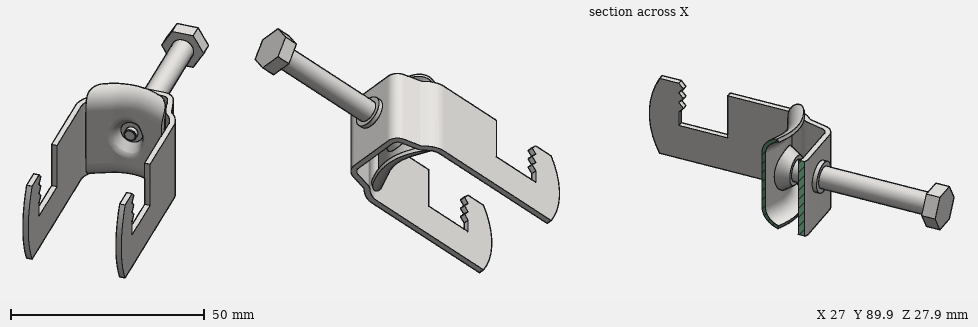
import cadquery as cq
import math


bracket_width = 27.0
sheet = 1.5
bracket_top = 9.0
bracket_bottom = -14.0
leg_tip_y = -54.1
web_bend_radius = 3.4
web_bend_angle = 76.0
side_slope_length = 4.9
flare_radius = 1.4
flare_angle = 32.0
shoulder_radius = 7.8
shoulder_angle = 31.0
leg_bend_radius = 5.6
leg_bend_angle = 90.0 - web_bend_angle + flare_angle - shoulder_angle
tip_sagitta = 3.0

slot_back_y = -31.75
slot_front_y = -45.7
slot_depth = 12.95
tooth_count = 3
tooth_pitch = 3.0
tooth_height = 1.35

collar_diameter = 8.5
collar_height = 1.3

overall_length = 89.9
shank_diameter = 6.0
head_top_y = overall_length + leg_tip_y
head_height = 3.9
head_across_flats = 10.0
pin_diameter = 3.3
pin_end_diameter = 2.9
pin_projection = 1.6

pad_sheet = 1.1
pad_front_y = -10.25
pad_radius = 10.8
wing_angle = 24.0
pad_half_width = 10.3
pad_flat_half_height = 8.4
curl_radius = 5.7
curl_angle = 75.0
pad_corner_radius = 5.0
trim_margin = 0.9

dimple_depth = 2.7
dimple_floor_diameter = 6.0
dimple_mouth_width = 9.0
dimple_mouth_height = 13.9
dimple_lead = 1.35
dimple_lip_radius = 2.0
selection_margin = 0.01


def step(point, heading, length):
    """Point reached from `point` by going `length` along `heading` (degrees from +X)."""
    angle = math.radians(heading)
    return (point[0] + length * math.cos(angle), point[1] + length * math.sin(angle))


def bend(point, heading, turn, radius):
    """Middle and end point of an arc that starts along `heading`; a positive turn is to the left."""
    side = math.copysign(90.0, turn)
    center = step(point, heading + side, radius)
    middle = step(center, heading - side + turn / 2, radius)
    end = step(center, heading - side + turn, radius)
    return middle, end


def line(start, end):
    return cq.Edge.makeLine(cq.Vector(*start), cq.Vector(*end))


def bent_face(inset):
    """Edges of one sheet face from the end of the web to the leg tip, `inset` below the outer face."""
    bends = [
        (-web_bend_angle, web_bend_radius - inset, side_slope_length),
        (flare_angle, flare_radius + inset, 0),
        (-shoulder_angle, shoulder_radius - inset, 0),
        (-leg_bend_angle, leg_bend_radius - inset, 0),
    ]
    point = (0, -inset)
    heading = 0.0
    edges = []
    for turn, radius, straight in bends:
        start = point
        middle, point = bend(start, heading, turn, radius)
        edges.append(cq.Edge.makeThreePointArc(cq.Vector(*start), cq.Vector(*middle), cq.Vector(*point)))
        heading += turn
        if straight:
            start = point
            point = step(start, heading, straight)
            edges.append(line(start, point))
    tip = (point[0], leg_tip_y)
    edges.append(line(point, tip))
    return edges, tip


def leg_outline():
    """Side shape of the bracket: rounded tip and a slot from above with teeth on its front wall."""
    corner_y = leg_tip_y + tip_sagitta
    middle_z = (bracket_top + bracket_bottom) / 2
    slot_floor = bracket_top - slot_depth
    side = (
        cq.Workplane("YZ")
        .moveTo(0, bracket_bottom)
        .lineTo(corner_y, bracket_bottom)
        .threePointArc((leg_tip_y, middle_z), (corner_y, bracket_top))
        .lineTo(slot_front_y, bracket_top)
    )
    for i in range(tooth_count):
        root_z = bracket_top - i * tooth_pitch
        side = side.lineTo(slot_front_y + tooth_height, root_z - tooth_pitch / 2)
        side = side.lineTo(slot_front_y, root_z - tooth_pitch)
    side = (
        side.lineTo(slot_front_y, slot_floor)
        .lineTo(slot_back_y, slot_floor)
        .lineTo(slot_back_y, bracket_top)
        .lineTo(0, bracket_top)
        .close()
    )
    return side.extrude(bracket_width, both=True)


def cylinder_y(diameter, start_y, end_y):
    """Cylinder on the bolt axis from start_y to end_y."""
    return cq.Workplane("XZ", origin=(0, end_y, 0)).circle(diameter / 2).extrude(end_y - start_y)


def make_bracket():
    outer, outer_tip = bent_face(0)
    inner, inner_tip = bent_face(sheet)
    ends = [line(outer_tip, inner_tip), line((0, 0), (0, -sheet))]
    outline = cq.Wire.combine(outer + inner + ends)[0]
    height = bracket_top - bracket_bottom
    web_half_width = bracket_width / 2 - outer_tip[0]
    leg_solid = cq.Solid.extrudeLinear(outline, [], cq.Vector(0, 0, height))
    leg = cq.Workplane(leg_solid).translate((web_half_width, 0, bracket_bottom))
    web = cq.Workplane("XY", origin=(0, -sheet / 2, bracket_bottom)).box(
        2 * web_half_width, sheet, height, centered=(True, True, False)
    )
    clip = web.union(leg).union(leg.mirror("YZ")).intersect(leg_outline())
    collar = cylinder_y(collar_diameter, -sheet, collar_height)
    return clip.union(collar).cut(cylinder_y(shank_diameter, -sheet, collar_height))


def make_bolt():
    floor_y = pad_front_y + dimple_depth
    seat_y = floor_y + pad_sheet
    pin_end_y = floor_y - pin_projection
    head_bottom_y = head_top_y - head_height
    across_corners = head_across_flats / math.cos(math.pi / 6)
    head = cq.Workplane("XZ", origin=(0, head_top_y, 0)).polygon(6, across_corners).extrude(head_height)
    pin = cylinder_y(pin_diameter, pin_end_y, seat_y)
    pin = pin.faces("<Y").chamfer((pin_diameter - pin_end_diameter) / 2)
    return head.union(cylinder_y(shank_diameter, seat_y, head_bottom_y)).union(pin)


def pad_profile(plane):
    """Section of the pad sheet: flat in the middle, curled back at the top and bottom."""
    inner = curl_radius - pad_sheet

    def on_curl(radius, angle, side):
        a = math.radians(angle)
        return (curl_radius - radius * math.cos(a), side * (pad_flat_half_height + radius * math.sin(a)))

    return (
        plane.moveTo(0, -pad_flat_half_height)
        .lineTo(0, pad_flat_half_height)
        .threePointArc(on_curl(curl_radius, curl_angle / 2, 1), on_curl(curl_radius, curl_angle, 1))
        .lineTo(*on_curl(inner, curl_angle, 1))
        .threePointArc(on_curl(inner, curl_angle / 2, 1), on_curl(inner, 0, 1))
        .lineTo(*on_curl(inner, 0, -1))
        .threePointArc(on_curl(inner, curl_angle / 2, -1), on_curl(inner, curl_angle, -1))
        .lineTo(*on_curl(curl_radius, curl_angle, -1))
        .threePointArc(on_curl(curl_radius, curl_angle / 2, -1), (0, -pad_flat_half_height))
        .close()
    )


def front_profile(plane):
    """Section of the space in front of the middle of the pad sheet, next to its flat stretch."""
    back = pad_sheet / 2
    front = -pad_radius / 2
    top = pad_flat_half_height
    corners = [(front, -top), (back, -top), (back, top), (front, top)]
    return plane.polyline(corners).close()


def corner_trim(section, wing_length, radius):
    """Waste outside the rounded upper corner of a wing, cut square to the sheet at its curled edge."""
    angle = math.radians(curl_angle)
    edge_x = curl_radius * (1 - math.cos(angle))
    edge_z = pad_flat_half_height + curl_radius * math.sin(angle)
    tangent_plane = cq.Plane(
        origin=section.toWorldCoords((edge_x, edge_z)),
        xDir=section.zDir,
        normal=section.yDir * math.sin(angle) - section.xDir * math.cos(angle),
    )
    arc_inset = radius * (1 - math.sqrt(0.5))
    return (
        cq.Workplane(tangent_plane)
        .moveTo(wing_length - radius, 0)
        .lineTo(wing_length - radius, trim_margin)
        .lineTo(wing_length + trim_margin, trim_margin)
        .lineTo(wing_length + trim_margin, -radius)
        .lineTo(wing_length, -radius)
        .threePointArc((wing_length - arc_inset, -arc_inset), (wing_length - radius, 0))
        .close()
        .extrude(curl_radius, both=True)
    )


def arched(profile, corner_radius=0):
    """Carry a section round the curved middle of the pad and out along both straight wings."""
    wing = math.radians(wing_angle)
    wing_start_x = pad_radius * math.sin(wing)
    wing_length = (pad_half_width - wing_start_x) / math.cos(wing)
    axis_y = pad_front_y - pad_radius
    section = cq.Plane(
        origin=(wing_start_x, axis_y + pad_radius * math.cos(wing), 0),
        xDir=(math.sin(wing), math.cos(wing), 0),
        normal=(math.cos(wing), -math.sin(wing), 0),
    )
    right_wing = profile(cq.Workplane(section)).extrude(wing_length)
    if corner_radius:
        trim = corner_trim(section, wing_length, corner_radius)
        right_wing = right_wing.cut(trim).cut(trim.mirror("XY"))
    middle = profile(cq.Workplane(section)).revolve(2 * wing_angle, (-pad_radius, 0), (-pad_radius, 1))
    return middle.union(right_wing).union(right_wing.mirror("YZ"))


def dimple_plug(front_y, floor_y, grow):
    """Tapered plug from the elliptical mouth of the dimple to its round floor, widened by `grow`."""
    return (
        cq.Workplane("XZ", origin=(0, front_y, 0))
        .ellipse(dimple_mouth_width / 2 + grow, dimple_mouth_height / 2 + grow)
        .workplane(offset=front_y - floor_y)
        .circle(dimple_floor_diameter / 2 + grow)
        .loft()
    )


def make_pad():
    floor_y = pad_front_y + dimple_depth
    mouth_y = pad_front_y - dimple_lead
    bump = dimple_plug(mouth_y, floor_y + pad_sheet, pad_sheet).cut(arched(front_profile))
    pad = arched(pad_profile, pad_corner_radius).union(bump).cut(dimple_plug(mouth_y, floor_y, 0))
    half_width = dimple_mouth_width / 2 + pad_sheet / 2
    half_height = dimple_mouth_height / 2 + pad_sheet / 2
    around_mouth = cq.selectors.BoxSelector(
        (-half_width, mouth_y, -half_height),
        (half_width, pad_front_y + selection_margin, half_height),
        boundingbox=True,
    )
    pad = pad.edges(around_mouth).fillet(dimple_lip_radius)
    return pad.cut(cylinder_y(pin_diameter, floor_y, floor_y + pad_sheet))


bracket = make_bracket()
bolt = make_bolt()
pad = make_pad()
result = cq.Compound.makeCompound([bracket.val(), bolt.val(), pad.val()])